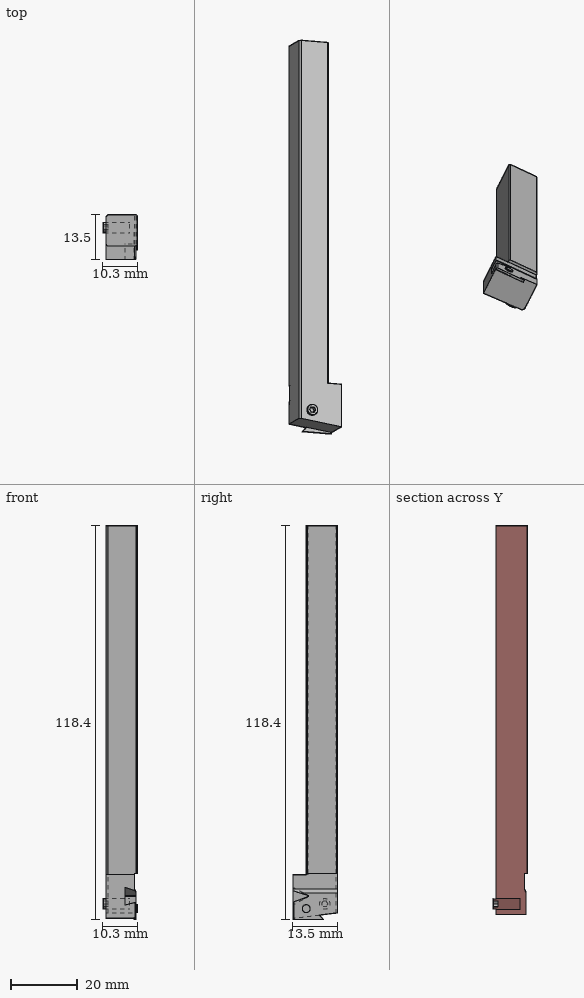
import cadquery as cq

LENGTH = 118.4
SHANK = 9.5
EDGE_CHAMFER = 0.6
FAR_EDGE_CHAMFER = 0.4
FOOT_REACH = 4.0
FOOT_TOP = 13.5
HEEL_RISE = 2.0
TOE_RISE = 0.4

RELIEF_TOP = 13.9
RELIEF_X = 8.6
SEAT_X = 9.1
SEAT_TOP = 8.0
SEAT_TAPER = 1.2
SEAT_BEVEL = 0.4

LIP_INNER_X = 8.4
LIP_TIP_Y = 5.2
LIP_ROOT_Y = 3.8
LIP_ROOT_Z = 1.7

POCKET_X = 5.7
POCKET_BOTTOM = 4.4
POCKET_TOP = 9.7
POCKET_MOUTH_BOTTOM = 5.3
POCKET_MOUTH_TOP = 8.5
POCKET_DEPTH = 4.7
POCKET_APEX_Z = 7.1
POCKET_APEX_HEIGHT = 0.2

BOSS_DIAMETER = 2.4
BOSS_Y = 0.0
BOSS_Z = 3.3

SCREW_DIAMETER = 3.2
SCREW_PROUD = 0.8
SCREW_DEPTH = 7.1
SCREW_Y = 5.6
SCREW_Z = 4.7
SOCKET_ACROSS_CORNERS = 1.9
SOCKET_DEPTH = 1.4

FOOT_FRONT = -FOOT_REACH


def profile_along_x(points, x_start, x_end):
    """Extrude a closed YZ outline between two X positions."""
    return cq.Workplane("YZ", origin=(x_start, 0, 0)).polyline(points).close().extrude(x_end - x_start)


def cylinder_along_x(diameter, x_start, x_end, y, z):
    return cq.Workplane("YZ", origin=(x_start, y, z)).circle(diameter / 2).extrude(x_end - x_start)


def make_blank():
    shank = cq.Workplane("XY").box(SHANK, SHANK, LENGTH, centered=False)
    shank = shank.edges("|Z and <X").chamfer(EDGE_CHAMFER).edges("|Z and >X").chamfer(FAR_EDGE_CHAMFER)
    foot = cq.Workplane("XY").box(SHANK, FOOT_REACH + SHANK / 2, FOOT_TOP, centered=False)
    foot = foot.translate((0, FOOT_FRONT, 0))
    below_underside = profile_along_x(
        [(FOOT_FRONT, 0), (SHANK, 0), (SHANK, HEEL_RISE), (FOOT_FRONT, TOE_RISE)], 0, SHANK
    )
    return shank.union(foot).cut(below_underside)


def make_flank_relief():
    outline = [
        (SHANK, 0),
        (SEAT_X, 0),
        (SEAT_X, SEAT_TOP),
        (RELIEF_X, SEAT_TOP + SEAT_TAPER),
        (RELIEF_X, RELIEF_TOP),
        (SHANK, RELIEF_TOP),
    ]
    relief = cq.Workplane("XZ", origin=(0, SHANK, 0)).polyline(outline).close()
    return relief.extrude(SHANK + FOOT_REACH)


def make_seat_bevel():
    corner = [
        (SEAT_X, FOOT_FRONT),
        (SEAT_X, FOOT_FRONT + SEAT_BEVEL),
        (SEAT_X - SEAT_BEVEL, FOOT_FRONT),
    ]
    return cq.Workplane("XY").polyline(corner).close().extrude(FOOT_TOP)


def make_lip():
    outline = [
        (FOOT_FRONT, 0),
        (LIP_TIP_Y, 0),
        (LIP_ROOT_Y, LIP_ROOT_Z),
        (FOOT_FRONT, LIP_ROOT_Z),
    ]
    return profile_along_x(outline, LIP_INNER_X, SEAT_X)


def make_pocket():
    mouth = [
        (POCKET_X, POCKET_BOTTOM),
        (SHANK, POCKET_MOUTH_BOTTOM),
        (SHANK, POCKET_MOUTH_TOP),
        (POCKET_X, POCKET_TOP),
    ]
    apex_low = POCKET_APEX_Z - POCKET_APEX_HEIGHT / 2
    apex_high = POCKET_APEX_Z + POCKET_APEX_HEIGHT / 2
    apex = [(POCKET_X, apex_low), (SHANK, apex_low), (SHANK, apex_high), (POCKET_X, apex_high)]
    front = cq.Workplane("XZ", origin=(0, FOOT_FRONT, 0)).polyline(mouth).close()
    return front.workplane(offset=-POCKET_DEPTH).polyline(apex).close().loft(ruled=True)


def make_holder():
    boss = cylinder_along_x(BOSS_DIAMETER, RELIEF_X, SHANK, BOSS_Y, BOSS_Z)
    screw_hole = cylinder_along_x(SCREW_DIAMETER, 0, SCREW_DEPTH, SCREW_Y, SCREW_Z)
    holder = make_blank().cut(make_flank_relief())
    holder = holder.union(make_lip()).cut(make_seat_bevel()).union(boss)
    return holder.cut(make_pocket()).cut(screw_hole)


def make_clamp_screw():
    screw = cylinder_along_x(SCREW_DIAMETER, -SCREW_PROUD, SCREW_DEPTH, SCREW_Y, SCREW_Z)
    socket = cq.Workplane("YZ", origin=(-SCREW_PROUD, SCREW_Y, SCREW_Z))
    return screw.cut(socket.polygon(6, SOCKET_ACROSS_CORNERS).extrude(SOCKET_DEPTH))


holder = make_holder()
clamp_screw = make_clamp_screw()
result = cq.Compound.makeCompound([holder.val(), clamp_screw.val()])